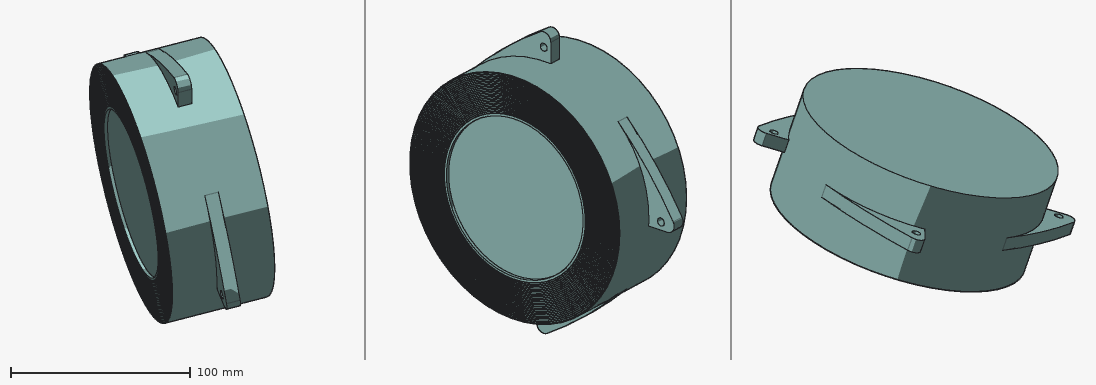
import cadquery as cq
import math

overall_size = 186.0
body_radius = 75.0
body_length = 60.0
front_y = -body_length / 2

recess_radius = 48.7
recess_depth = 2.0

first_groove_radius = 50.2
last_groove_radius = 74.2
groove_count = 25
groove_depth = 0.1
groove_pitch = (last_groove_radius - first_groove_radius) / (groove_count - 1)
groove_width = 0.22

lug_count = 4
lug_thickness = 8.0
lug_reach = overall_size / 2
lug_tip_radius = 5.0
lug_hole_radius = 2.5
lug_hole_offset = 83.5
lug_root_angle = math.radians(135)


def body():
    """Disc revolved about Y from a half section that carries the recess and the grooves."""
    section = (
        cq.Workplane("XY")
        .moveTo(0, front_y + recess_depth)
        .lineTo(recess_radius, front_y + recess_depth)
        .lineTo(recess_radius, front_y)
    )
    for index in range(groove_count):
        inner = first_groove_radius + index * groove_pitch
        outer = inner + groove_width
        section = (
            section.lineTo(inner, front_y)
            .lineTo(inner, front_y + groove_depth)
            .lineTo(outer, front_y + groove_depth)
            .lineTo(outer, front_y)
        )
    return (
        section.lineTo(body_radius, front_y)
        .lineTo(body_radius, -front_y)
        .lineTo(0, -front_y)
        .close()
        .revolve(360, (0, 0, 0), (0, 1, 0))
    )


def lug():
    """Ear at +Z: its back leaves the rim tangentially at the root angle and blends into the rounded tip."""
    tip_center_z = lug_reach - lug_tip_radius
    root_x = math.cos(lug_root_angle)
    root_z = math.sin(lug_root_angle)

    reduced_radius = body_radius - lug_tip_radius
    center_offset = (tip_center_z**2 - reduced_radius**2) / (
        2 * (reduced_radius - tip_center_z * root_z)
    )
    back_radius = body_radius + center_offset
    center_x = -center_offset * root_x
    center_z = -center_offset * root_z

    tip_angle = math.atan2(tip_center_z - center_z, -center_x)

    def back_point(angle):
        return (
            center_x + back_radius * math.cos(angle),
            center_z + back_radius * math.sin(angle),
        )

    tip_mid_angle = tip_angle / 2
    tip_mid = (
        lug_tip_radius * math.cos(tip_mid_angle),
        tip_center_z + lug_tip_radius * math.sin(tip_mid_angle),
    )
    return (
        cq.Workplane("XZ")
        .moveTo(*back_point(lug_root_angle))
        .threePointArc(back_point((lug_root_angle + tip_angle) / 2), back_point(tip_angle))
        .threePointArc(tip_mid, (lug_tip_radius, tip_center_z))
        .lineTo(lug_tip_radius, 0)
        .close()
        .extrude(lug_thickness / 2, both=True)
    )


def lug_hole():
    """Pin hole through the tip of the ear at +Z."""
    return (
        cq.Workplane("XZ")
        .center(0, lug_hole_offset)
        .circle(lug_hole_radius)
        .extrude(lug_thickness / 2, both=True)
    )


result = body()

for index in range(lug_count):
    turn = index * 360 / lug_count
    ear = lug().cut(lug_hole()).rotate((0, 0, 0), (0, 1, 0), turn)
    result = result.union(ear)